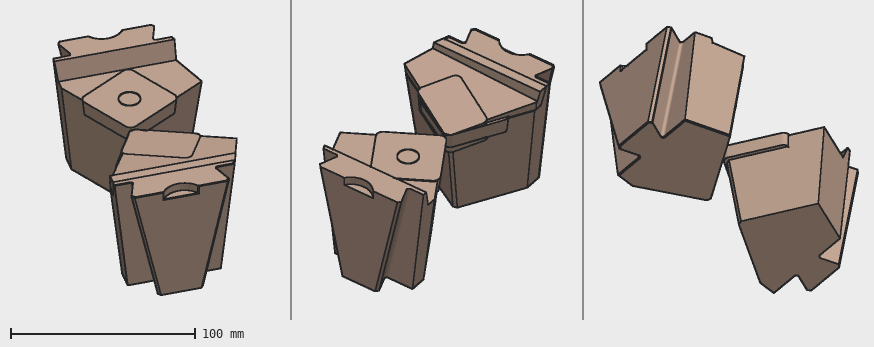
import cadquery as cq
import math


overall_length = 144.25
jaw_height = 70.19
oversize = 200

side_draft = math.tan(math.radians(6))
dovetail_draft = math.tan(math.radians(12))
upright_lean = math.tan(math.radians(16.4))

dovetail_back_half = 25.9
dovetail_tip_x = 1.75
dovetail_tip_half = 27.3
dovetail_flank = math.tan(math.radians(20.5))
dovetail_root_radius = 1.4
flange_x = 13.45
dovetail_root_half = dovetail_tip_half - (flange_x - dovetail_tip_x) * dovetail_flank

notch_radius = 12.2
notch_reach = 4.78
notch_depth = 5

flat_jaw_faces = {"clamp": 58.2, "slant": 42.0, "end": 26.9, "side": 33.65}
flat_upright_x = 16.05
seat_depth = 11.7
corner_chamfer = 1.8

shell_jaw_faces = {"clamp": 57.75, "slant": 41.4, "end": 27.93, "side": flat_jaw_faces["side"]}
shell_upright_x = 21.9
shell_back_thickness = 0.82
shell_dovetail_growth = 0.45

insert_size = 38.6
insert_thickness = 9.55
insert_protrusion = 0.85
insert_draft_angle = 6
insert_corner_radius = 4
insert_clamp = 58.95
insert_slant = 42.15
mark_diameter = 12
mark_depth = 0.5

tilted_width = 25.5
tilted_length = 39.65
tilted_thickness = 13.7
tilted_corner_radius = 3.6
tilted_clamp = 58.9
tilted_slant = 41.95
tilted_tip_depth = 11.1
tilt_slope = 0.0925

plan_turn = math.radians(30)
end_turn = math.radians(20)
clamp_dir = cq.Vector(math.cos(plan_turn), math.sin(plan_turn))
slant_dir = cq.Vector(math.sin(plan_turn), -math.cos(plan_turn))
end_dir = cq.Vector(-math.sin(end_turn), math.cos(end_turn))
side_dir = cq.Vector(0, -1)
x_dir = cq.Vector(1, 0)


def meet(dir_a, dist_a, dir_b, dist_b):
    """Plan point where two lines meet, each given by its unit normal and distance."""
    det = dir_a.x * dir_b.y - dir_a.y * dir_b.x
    x = (dist_a * dir_b.y - dist_b * dir_a.y) / det
    y = (dir_a.x * dist_b - dir_b.x * dist_a) / det
    return (x, y)


def jaw_plan(faces, back_x, growth, depth):
    """Plan outline of a jaw at a depth below its top."""
    clamp, slant, end, side = (
        faces[name] - depth * side_draft for name in ("clamp", "slant", "end", "side")
    )
    shoulder_x = back_x + flange_x
    narrowing = depth * dovetail_draft - growth
    dovetail = [
        (back_x, dovetail_back_half - narrowing),
        (back_x + dovetail_tip_x, dovetail_tip_half - narrowing),
        (shoulder_x, dovetail_root_half - narrowing),
    ]
    front = [
        meet(x_dir, shoulder_x, end_dir, end),
        meet(end_dir, end, clamp_dir, clamp),
        meet(clamp_dir, clamp, slant_dir, slant - corner_chamfer),
        meet(clamp_dir, clamp - corner_chamfer, slant_dir, slant),
        meet(slant_dir, slant, side_dir, side),
        (shoulder_x, -side),
    ]
    return dovetail + front + [(x, -y) for x, y in reversed(dovetail)]


def jaw_block(faces, back_x, growth):
    """Full-height tapered jaw with its dovetail and notch, before the seat is cut."""
    block = (
        cq.Workplane("XY")
        .polyline(jaw_plan(faces, back_x, growth, 0)).close()
        .workplane(offset=-jaw_height)
        .polyline(jaw_plan(faces, back_x, growth, jaw_height)).close()
        .loft(ruled=True)
    )
    mid_depth = jaw_height / 2
    mid_root_half = dovetail_root_half + growth - mid_depth * dovetail_draft
    for side in (1, -1):
        root = (back_x + flange_x, side * mid_root_half, -mid_depth)
        block = block.edges(cq.NearestToPointSelector(root)).fillet(dovetail_root_radius)
    notch = (
        cq.Workplane("XY").center(notch_reach - notch_radius, 0)
        .circle(notch_radius).extrude(-notch_depth)
    )
    return block.cut(notch)


def upright_clearance(top_x):
    """Space in front of a leaning upright, down to the seat."""
    foot_x = top_x + seat_depth * upright_lean
    profile = [(top_x, 0), (oversize, 0), (oversize, -seat_depth), (foot_x, -seat_depth)]
    return cq.Workplane("XZ").polyline(profile).close().extrude(oversize, both=True)


def flat_insert_block():
    """Square plate with rounded corners that narrows downward."""
    middle = insert_size / 2
    centre = clamp_dir * (insert_clamp - middle) + slant_dir * (insert_slant - middle)
    top_centre = (centre.x, centre.y, insert_protrusion - seat_depth)
    frame = cq.Plane(top_centre, xDir=clamp_dir.toTuple(), normal=(0, 0, -1))
    outline = cq.Sketch().rect(insert_size, insert_size).vertices().fillet(insert_corner_radius)
    return cq.Workplane(frame).placeSketch(outline).extrude(insert_thickness, taper=insert_draft_angle)


def flat_insert():
    """Flat insert with a shallow round mark in the middle of its top."""
    return flat_insert_block().faces(">Z").workplane().hole(mark_diameter, mark_depth)


def tilted_frame():
    """Tilted top plane: origin at the sharp tip, local z down, local y along the slanted direction."""
    tip = clamp_dir * tilted_clamp + slant_dir * tilted_slant
    lean = (clamp_dir + slant_dir) * tilt_slope
    return cq.Plane(
        (tip.x, tip.y, -tilted_tip_depth),
        xDir=(clamp_dir.x, clamp_dir.y, -tilt_slope),
        normal=(-lean.x, -lean.y, -1),
    )


def tilted_insert_block():
    """Rounded plate whose top lies in the tilted plane and whose sides are square to it."""
    outline = cq.Sketch().rect(tilted_width, tilted_length).vertices().fillet(tilted_corner_radius)
    return (
        cq.Workplane(tilted_frame()).center(-tilted_width / 2, -tilted_length / 2)
        .placeSketch(outline).extrude(tilted_thickness)
    )


def above_tilted_plane():
    """All the space over the tilted top plane."""
    return cq.Workplane(tilted_frame()).rect(2 * oversize, 2 * oversize).extrude(-oversize)


def in_second_place(body):
    """Mirror a body to the facing side."""
    return body.mirror("YZ").translate((overall_length - shell_back_thickness, 0, 0))


flat_insert_pocket = flat_insert_block()
unpocketed_flat_jaw = jaw_block(flat_jaw_faces, 0, 0).cut(upright_clearance(flat_upright_x))
first_flat_jaw = unpocketed_flat_jaw.cut(flat_insert_pocket)
first_flat_insert = flat_insert()

tilted_insert_pocket = tilted_insert_block()
second_flat_jaw = in_second_place(first_flat_jaw.cut(tilted_insert_pocket))
second_flat_insert = in_second_place(flat_insert())
tilted_insert = in_second_place(tilted_insert_pocket.cut(flat_insert_pocket))

shell_clearance = upright_clearance(shell_upright_x).intersect(above_tilted_plane())
shell_jaw = in_second_place(
    jaw_block(shell_jaw_faces, -shell_back_thickness, shell_dovetail_growth)
    .cut(shell_clearance)
    .cut(unpocketed_flat_jaw)
    .cut(flat_insert_pocket)
    .cut(tilted_insert_pocket)
)

result = cq.Compound.makeCompound([
    first_flat_jaw.solids().val(),
    first_flat_insert.solids().val(),
    second_flat_jaw.solids().val(),
    second_flat_insert.solids().val(),
    tilted_insert.solids().val(),
    shell_jaw.solids().val(),
])